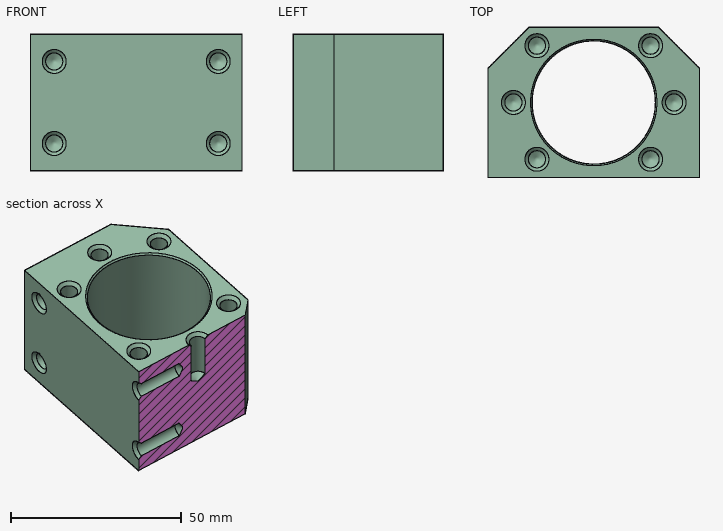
import cadquery as cq
import math

LENGTH = 62.0
WIDTH = 44.0
HEIGHT = 40.0
CORNER_CUT = 12.0

BORE_DIAMETER = 36.0
BORE_CHAMFER = 0.5

HOLE_DIAMETER = 5.0
COUNTERSINK_DIAMETER = 7.0
COUNTERSINK_ANGLE = 90.0
HOLE_DEPTH = 15.0
DRILL_TIP_ANGLE = 118.0

BOLT_CIRCLE_DIAMETER = 47.0
BOLT_ANGLES = (-45, 0, 45, 135, 180, 225)
FRONT_HOLE_SPACING_X = 48.0
FRONT_HOLE_SPACING_Z = 24.0


def make_block():
    """Rectangular block with its two rear vertical corners cut at 45 degrees."""
    block = cq.Workplane("XY").box(LENGTH, WIDTH, HEIGHT)
    return block.faces(">Y").edges("|Z").chamfer(CORNER_CUT)


def make_bore():
    """Through bore, chamfered at both ends."""
    bore_radius = BORE_DIAMETER / 2
    mouth_radius = bore_radius + BORE_CHAMFER
    end = HEIGHT / 2
    shoulder = end - BORE_CHAMFER
    profile = [
        (0, -end),
        (mouth_radius, -end),
        (bore_radius, -shoulder),
        (bore_radius, shoulder),
        (mouth_radius, end),
        (0, end),
    ]
    return cq.Workplane("XZ").polyline(profile).close().revolve(360, (0, 0), (0, 1))


def make_hole():
    """Cutter for one hole, opening at the origin and running down -Z."""
    radius = HOLE_DIAMETER / 2
    mouth_radius = COUNTERSINK_DIAMETER / 2
    countersink_depth = (mouth_radius - radius) / math.tan(math.radians(COUNTERSINK_ANGLE / 2))
    tip_length = radius / math.tan(math.radians(DRILL_TIP_ANGLE / 2))
    profile = [
        (0, 0),
        (mouth_radius, 0),
        (radius, -countersink_depth),
        (radius, -HOLE_DEPTH),
        (0, -HOLE_DEPTH - tip_length),
    ]
    return cq.Workplane("XZ").polyline(profile).close().revolve(360, (0, 0), (0, 1))


result = make_block().cut(make_bore())

top_hole = make_hole().translate((BOLT_CIRCLE_DIAMETER / 2, 0, HEIGHT / 2))
for angle in BOLT_ANGLES:
    result = result.cut(top_hole.rotate((0, 0, 0), (0, 0, 1), angle))

front_hole = make_hole().rotate((0, 0, 0), (1, 0, 0), 90)
for side_x in (-1, 1):
    for side_z in (-1, 1):
        position = (
            side_x * FRONT_HOLE_SPACING_X / 2,
            -WIDTH / 2,
            side_z * FRONT_HOLE_SPACING_Z / 2,
        )
        result = result.cut(front_hole.translate(position))